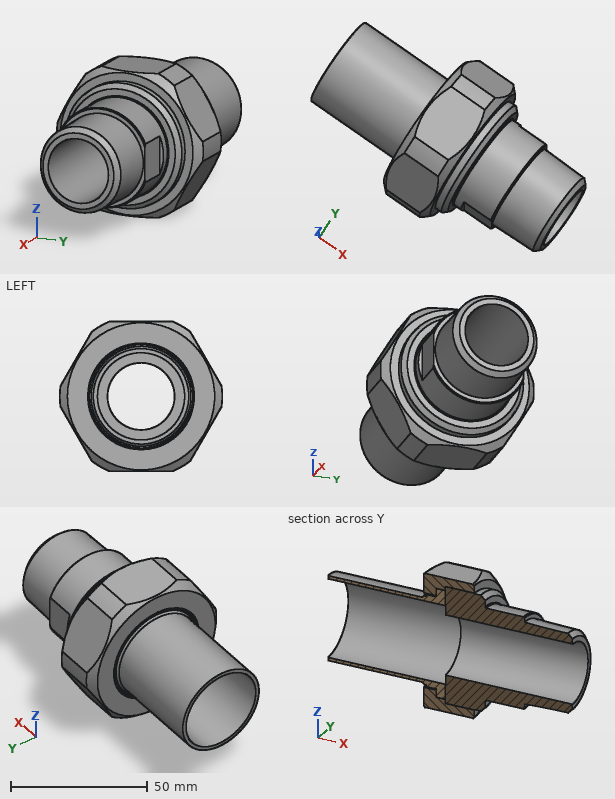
import cadquery as cq
import math

total_length = 101.0

tube_diameter = 35.0
tube_bore = 32.0
cone_start_x = 38.9
cone_length = 0.8
cone_end_diameter = 36.7
collar_start_x = 40.4
collar_diameter = 38.0
flange_diameter = 44.8
flange_start_x = 44.4
seat_x = 48.5

nut_start_x = 39.4
nut_end_x = 60.4
nut_across_flats = 55.0
nut_corner_diameter = 59.7
nut_face_diameter = 54.0
nut_front_chamfer = 3.0
nut_rear_chamfer = 2.8
nut_hole = 38.5
nut_hole_chamfer = 0.3

body_bore = 24.5
union_thread_diameter = 47.7
union_thread_chamfer = 1.8
union_thread_end_x = 64.9
neck_cone = 0.4
neck_diameter = 38.0
neck_end_x = 81.2
neck_chamfer = 0.4
wrench_flat_start_x = 68.9
wrench_wall_slope_length = 0.3
wrench_across_flats = 35.0
pipe_thread_start_diameter = 33.7
pipe_thread_end_diameter = 32.7
pipe_thread_chamfer = 1.9


def revolve_profile(points):
    """Revolve a closed outline of (x, diameter) points about the X axis."""
    outline = [(x, diameter / 2) for x, diameter in points]
    return cq.Workplane("XY").polyline(outline).close().revolve(360, (0, 0, 0), (1, 0, 0))


def make_tail():
    """Thin tube that widens through a cone and a stepped collar to a retaining flange."""
    return revolve_profile([
        (0, tube_bore),
        (0, tube_diameter),
        (cone_start_x, tube_diameter),
        (cone_start_x + cone_length, cone_end_diameter),
        (collar_start_x, cone_end_diameter),
        (collar_start_x, collar_diameter),
        (flange_start_x, collar_diameter),
        (flange_start_x, flange_diameter),
        (seat_x, flange_diameter),
        (seat_x, tube_bore),
    ])


def make_nut():
    """Hexagon nut with rounded corners, conical ends and a stepped bore."""
    hexagon = (
        cq.Workplane("YZ", origin=(nut_start_x, 0, 0))
        .polygon(6, nut_across_flats / math.cos(math.pi / 6))
        .extrude(nut_end_x - nut_start_x)
    )
    turned_blank = revolve_profile([
        (nut_start_x, nut_hole + 2 * nut_hole_chamfer),
        (nut_start_x, nut_face_diameter),
        (nut_start_x + nut_front_chamfer, nut_corner_diameter),
        (nut_end_x - nut_rear_chamfer, nut_corner_diameter),
        (nut_end_x, nut_face_diameter),
        (nut_end_x, union_thread_diameter),
        (seat_x, union_thread_diameter),
        (seat_x, flange_diameter),
        (flange_start_x, flange_diameter),
        (flange_start_x, nut_hole),
        (nut_start_x + nut_hole_chamfer, nut_hole),
    ])
    return hexagon.intersect(turned_blank)


def cut_wrench_flats(body):
    """Cut the two flats on the -Y and +Y sides of the neck, each behind a slightly sloped wall."""
    for side in (-1, 1):
        flat_y = side * wrench_across_flats / 2
        neck_y = side * neck_diameter / 2
        cutter = (
            cq.Workplane("XY")
            .polyline([
                (wrench_flat_start_x, flat_y),
                (neck_end_x, flat_y),
                (neck_end_x, neck_y),
                (wrench_flat_start_x - wrench_wall_slope_length, neck_y),
            ])
            .close()
            .extrude(neck_diameter / 2, both=True)
        )
        body = body.cut(cutter)
    return body


def make_body():
    """Union thread, neck with wrench flats and tapered male pipe thread."""
    body = revolve_profile([
        (seat_x, body_bore),
        (seat_x, union_thread_diameter),
        (union_thread_end_x - union_thread_chamfer, union_thread_diameter),
        (union_thread_end_x, union_thread_diameter - 2 * union_thread_chamfer),
        (union_thread_end_x, neck_diameter + 2 * neck_cone),
        (union_thread_end_x + neck_cone, neck_diameter),
        (neck_end_x - neck_chamfer, neck_diameter),
        (neck_end_x, neck_diameter - 2 * neck_chamfer),
        (neck_end_x, pipe_thread_start_diameter),
        (total_length - pipe_thread_chamfer, pipe_thread_end_diameter),
        (total_length, pipe_thread_end_diameter - 2 * pipe_thread_chamfer),
        (total_length, body_bore),
    ])
    return cut_wrench_flats(body)


tail = make_tail()
nut = make_nut()
body = make_body()

result = cq.Compound.makeCompound([tail.val(), nut.val(), body.val()])